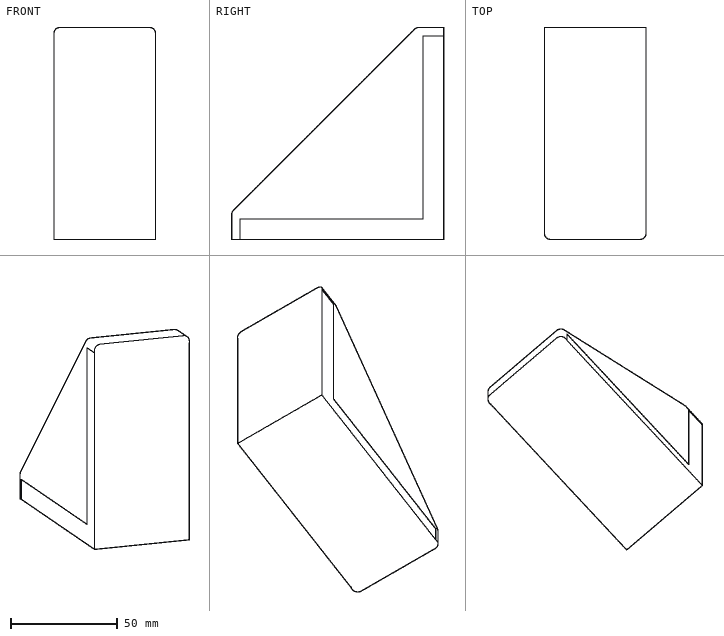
import cadquery as cq

width = 48.0
leg_length = 100.0
end_face = 13.0
edge_radius = 3.0

relief_length = 96.0
relief_width = 9.8
relief_depth = 0.1


def make_wedge():
    """Right-angled wedge with its mounting faces at the back and bottom, and blunt tips."""
    profile = [
        (0, 0),
        (-leg_length, 0),
        (-leg_length, end_face),
        (-end_face, leg_length),
        (0, leg_length),
    ]
    return cq.Workplane("YZ").polyline(profile).close().extrude(width / 2, both=True)


def round_outer_edges(wedge):
    """Round every edge that does not border one of the flat mounting faces."""
    mounting_edges = wedge.faces(">Y or <Z").edges().vals()
    outer_edges = wedge.edges().filter(
        lambda edge: not any(edge.isSame(other) for other in mounting_edges)
    )
    return outer_edges.fillet(edge_radius)


def make_relief(start_x):
    """L-shaped cutter, one relief depth thick, starting at start_x."""
    outline = [
        (0, 0),
        (-relief_length, 0),
        (-relief_length, relief_width),
        (-relief_width, relief_width),
        (-relief_width, relief_length),
        (0, relief_length),
    ]
    plane = cq.Workplane("YZ", origin=(start_x, 0, 0))
    return plane.polyline(outline).close().extrude(relief_depth)


result = round_outer_edges(make_wedge())
for relief_start in (-width / 2, width / 2 - relief_depth):
    result = result.cut(make_relief(relief_start))